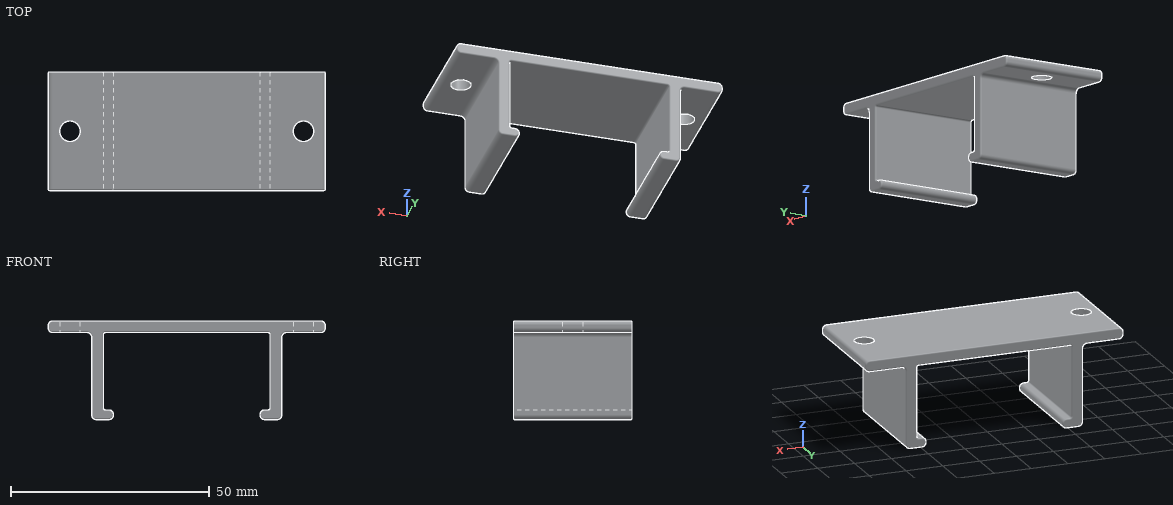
import cadquery as cq

length = 70.0
depth = 30.0
height = 25.0
plate_thickness = 3.0
plate_edge_radius = 1.2

leg_outer_x = 24.0
leg_inner_x = 21.0
lip_tip_x = 18.5
lip_thickness = 2.5
hook_edge_radius = 1.2
outer_root_radius = 1.2
inner_root_radius = 0.5

end_fillet = 0.4

hole_diameter = 5.1
hole_x = 29.5

top_z = height / 2
bottom_z = -height / 2
plate_bottom_z = top_z - plate_thickness
lip_top_z = bottom_z + lip_thickness


def box_between(x_min, x_max, z_min, z_max):
    """Full-depth block spanning the given X and Z ranges."""
    return cq.Workplane("XY").box(x_max - x_min, depth, z_max - z_min).translate(
        ((x_min + x_max) / 2, 0, (z_min + z_max) / 2)
    )


def round_edges(body, radius, corners):
    """Fillet the depthwise edges at the (x, z) corners and their mirror images."""
    for x, z in corners:
        for side in (-1, 1):
            edge = cq.selectors.NearestToPointSelector((side * x, 0, z))
            body = body.edges("|Y").edges(edge).fillet(radius)
    return body


def make_profile():
    """Plate with two inward-hooked legs, square-edged."""
    body = box_between(-length / 2, length / 2, plate_bottom_z, top_z)
    leg = box_between(leg_inner_x, leg_outer_x, bottom_z, plate_bottom_z)
    lip = box_between(lip_tip_x, leg_inner_x, bottom_z, lip_top_z)
    hooked_leg = leg.union(lip)
    return body.union(hooked_leg).union(hooked_leg.mirror("YZ"))


plate_corners = [(length / 2, top_z), (length / 2, plate_bottom_z)]
hook_corners = [
    (leg_outer_x, bottom_z),
    (lip_tip_x, bottom_z),
    (lip_tip_x, lip_top_z),
]
inside_corners = [(leg_inner_x, plate_bottom_z), (leg_inner_x, lip_top_z)]

body = make_profile()
body = round_edges(body, plate_edge_radius, plate_corners)
body = round_edges(body, hook_edge_radius, hook_corners)
body = round_edges(body, outer_root_radius, [(leg_outer_x, plate_bottom_z)])
body = round_edges(body, inner_root_radius, inside_corners)

body = body.faces("<Y or >Y").edges().fillet(end_fillet)

holes = (
    cq.Workplane("XY", origin=(0, 0, plate_bottom_z))
    .pushPoints([(-hole_x, 0), (hole_x, 0)])
    .circle(hole_diameter / 2)
    .extrude(plate_thickness)
)

result = body.cut(holes)